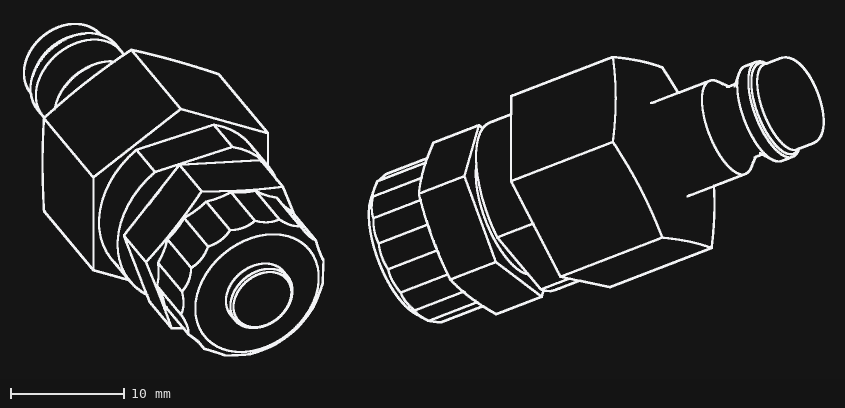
import cadquery as cq
import math

nose_dia = 8.1
nose_round = 0.68
nose_end = 2.33

bead_step_dia = 8.55
bead_step = 2.8
bead_dia = 9.0
bead_start = 2.95
bead_end = 4.1
neck_dia = 6.7
neck_start = 5.3
neck_end = 6.55
groove_bend_radius = 0.45
shank_dia = 8.85
shank_start = 7.8
shank_fillet = 0.5

body_start = 14.2
body_end = 25.0
body_flats = 17.0
body_corner_angle = 90
body_chamfer = 0.3

collar_end = 28.95
collar_dia = 15.9
collar_flats = 14.0
collar_tilt = 4.5

relief_dia = 11.93

nut_start = 30.15
nut_hex_end = 35.1
nut_flats = 14.0
nut_turn = 12
nut_chamfer = 0.25
grip_end = 41.15
grip_dia = 14.0
grip_end_dia = 12.0
flute_count = 18
flute_depth = 0.2

tube_end = 42.3
tube_dia = 6.05
tube_chamfer = 0.2


def plane_at(x):
    """Plane across the axis, local X along -Y and local Y along +Z."""
    return cq.Workplane(cq.Plane(origin=(x, 0, 0), xDir=(0, -1, 0), normal=(-1, 0, 0)))


def cylinder(start, end, diameter):
    return plane_at(end).circle(diameter / 2).extrude(end - start)


def polar(radius, angle):
    return (radius * math.cos(math.radians(angle)), radius * math.sin(math.radians(angle)))


def revolve_profile(profile):
    return profile.close().revolve(360, (0, 0, 0), (1, 0, 0))


def hexagon(start, end, flats, corner_angle):
    corner_radius = flats / math.sqrt(3)
    corners = [polar(corner_radius, corner_angle + 60 * i) for i in range(6)]
    return plane_at(end).polyline(corners).close().extrude(end - start)


def chamfered_envelope(plain_end, chamfered_end, flats, chamfer):
    """Round blank that trims hexagon corners down to the flats at one end."""
    corner_radius = flats / math.sqrt(3)
    chamfer_start = chamfered_end - math.copysign(chamfer, chamfered_end - plain_end)
    return revolve_profile(
        cq.Workplane("XY")
        .moveTo(plain_end, 0)
        .lineTo(plain_end, corner_radius)
        .lineTo(chamfer_start, corner_radius)
        .lineTo(chamfered_end, flats / 2)
        .lineTo(chamfered_end, 0)
    )


def make_plug():
    nose_radius = nose_dia / 2
    shank_radius = shank_dia / 2
    round_offset = nose_round * (1 - math.sqrt(0.5))
    fillet_offset = shank_fillet * math.sqrt(0.5)
    plug = revolve_profile(
        cq.Workplane("XY")
        .lineTo(0, nose_radius - nose_round)
        .threePointArc((round_offset, nose_radius - round_offset), (nose_round, nose_radius))
        .lineTo(nose_end, nose_radius)
        .lineTo(bead_step, bead_step_dia / 2)
        .lineTo(bead_start, bead_dia / 2)
        .lineTo(bead_end, bead_dia / 2)
        .lineTo(neck_start, neck_dia / 2)
        .lineTo(neck_end, neck_dia / 2)
        .lineTo(shank_start, shank_radius)
        .lineTo(body_start - shank_fillet, shank_radius)
        .threePointArc(
            (body_start - shank_fillet + fillet_offset, shank_radius + shank_fillet - fillet_offset),
            (body_start, shank_radius + shank_fillet),
        )
        .lineTo(body_start, 0)
    )
    edge_margin = 0.05
    neck_edges = cq.selectors.BoxSelector(
        (neck_start - edge_margin, -neck_dia, -neck_dia), (neck_end + edge_margin, neck_dia, neck_dia)
    )
    return plug.edges("%CIRCLE").edges(neck_edges).fillet(groove_bend_radius)


def make_body():
    blank = hexagon(body_start, body_end, body_flats, body_corner_angle)
    return blank.intersect(chamfered_envelope(body_end, body_start, body_flats, body_chamfer))


def make_collar():
    length = collar_end - body_end
    flats = (
        cq.Workplane("XY")
        .box(length, collar_dia, collar_flats)
        .rotate((0, 0, 0), (1, 0, 0), collar_tilt)
        .translate((body_end + length / 2, 0, 0))
    )
    return cylinder(body_end, collar_end, collar_dia).intersect(flats)


def make_nut_hexagon():
    blank = hexagon(nut_start, nut_hex_end, nut_flats, nut_turn)
    return blank.intersect(chamfered_envelope(nut_start, nut_hex_end, nut_flats, nut_chamfer))


def make_grip():
    """Grip with shallow concave flutes meeting at ridges, and a 45 degree end."""
    pitch = 360 / flute_count
    radius = grip_dia / 2
    outline = plane_at(grip_end).moveTo(*polar(radius, nut_turn))
    for i in range(flute_count):
        ridge = nut_turn + i * pitch
        flute_bottom = polar(radius - flute_depth, ridge + pitch / 2)
        outline = outline.threePointArc(flute_bottom, polar(radius, ridge + pitch))
    fluted = outline.close().extrude(grip_end - nut_hex_end)
    end_chamfer = (grip_dia - grip_end_dia) / 2
    return fluted.intersect(cylinder(nut_hex_end, grip_end, grip_dia).faces(">X").chamfer(end_chamfer))


def make_tube():
    return cylinder(grip_end, tube_end, tube_dia).faces(">X").chamfer(tube_chamfer)


result = (
    make_plug()
    .union(make_body())
    .union(make_collar())
    .union(cylinder(collar_end, nut_start, relief_dia))
    .union(make_nut_hexagon())
    .union(make_grip())
    .union(make_tube())
)